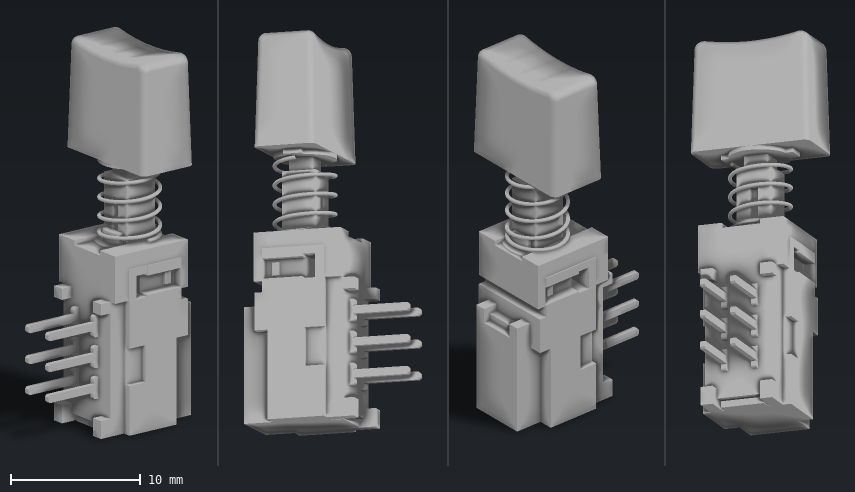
import cadquery as cq
import math


SWITCH_HEIGHT = 30.2
FRAME_BOTTOM = 10.9
FRAME_TOP = 14.75
WASHER_BOTTOM = 20.87
CAP_BOTTOM = 21.2

STEM_WIDTH_X = 2.85
STEM_WIDTH_Y = 2.78
NECK_WIDTH = 1.93
NECK_BOTTOM = 19.8
STEM_TOP = 24.15
STEM_SLOT_WIDTH = 0.65
STEM_SLOT_DEPTH = 0.55
STEM_SLOT_TOP = 18.12

CAP_LENGTH = 9.9
CAP_WIDTH = 5.0
CAP_DRAFT = 1.5
CAP_END_RADIUS = 0.7
CAP_EDGE_RADIUS = 0.55
DISH_HALF_LENGTH = 3.87
DISH_DEPTH = 0.4

WASHER_RADIUS = 2.48
WASHER_FLAT_Y = 2.15
WASHER_TAB_SPAN = 5.98
WASHER_TAB_WIDTH = 1.45

SPRING_RADIUS = 2.35
WIRE_DIAMETER = 0.3
SEAT_CLEARANCE = 0.005
SPRING_PITCH = 1.5
SEAT_TURNS = 0.5
LEAD_IN_TURNS = 0.5
LEAD_IN_RISE = 0.48
ACTIVE_TURNS = 3.5
POINTS_PER_TURN = 16

FRAME_WIDTH = 7.07
FRAME_FRONT = -4.15
FRAME_BACK = 2.93
GROOVE_WIDTH = 3.2
GROOVE_DEPTH = 0.4
SEAT_RADIUS = 2.72
SEAT_HEIGHT = 0.12
POST_RADIUS = 2.1
POST_WIDTH = 1.93
POST_TOP = 15.45
POST_GAP = 0.05
BUMP_PROJECTION = 0.35
BUMP_WIDTH = 0.55
BUMP_HEIGHT = 1.03
BUMP_Y = 1.33
BUMP_Z = 11.87

HOUSING_WIDTH = 7.3
HOUSING_FRONT = -2.85
ARM_BACK = 2.2
ARM_TOP = 13.45
ARM_INNER_X = 2.75
SHOULDER_BACK = 2.85
SHOULDER_TOP = 10.0
SHOULDER_BOTTOM = 7.05
LOWER_BACK = 1.75
LUG_WIDTH = 4.85
LUG_BACK = 4.1
LUG_TOP = 9.15
LUG_SLOT_WIDTH = 3.02
LUG_SLOT_DEPTH = 0.6
LUG_STEP_DEPTH = 1.2
LUG_STEP_LENGTH = 0.57
SIDE_NOTCH_BACK = -1.27
SIDE_NOTCH_BOTTOM = 4.02
SIDE_NOTCH_DEPTH = 0.48
TONGUE_WIDTH = 3.55
TONGUE_HEIGHT = 0.5
TONGUE_FRONT = -3.8

WINDOW_SPLIT_Y = -1.1
WINDOW_FRONT = -2.1
FRONT_WINDOW_TOP = 12.8
BACK_WINDOW_BOTTOM = 11.05
BACK_WINDOW_TOP = 12.62
FRONT_SETBACK = 0.03

BASE_WIDTH = 5.92
BASE_NOTCH_WIDTH = 3.93
BASE_NOTCH_HEIGHT = 0.65
PEG_FRONT = -5.07
UPPER_PEG_HEIGHT = FRAME_BOTTOM - SHOULDER_TOP
LOWER_PEG_HEIGHT = 1.45

PIN_PITCH = 2.5
PIN_ROWS = 3
LOWEST_PIN_Z = 3.6
PIN_THICKNESS = 0.42
PIN_HEIGHT = 0.63
PIN_TIP_Y = -9.03
PIN_TIP_CHAMFER = 0.15
NUB_SPAN = 1.75
NUB_LENGTH = 0.48
NUB_RADIUS = 0.2

SIDES = (-1, 1)


def block(x_range, y_range, z_range):
    """Axis-aligned block between the given limits."""
    sizes = [high - low for low, high in (x_range, y_range, z_range)]
    corner = (x_range[0], y_range[0], z_range[0])
    return cq.Workplane("XY").box(*sizes, centered=False).translate(corner)


def middle_block(width, y_range, z_range):
    """Block centred on X = 0."""
    return block((-width / 2, width / 2), y_range, z_range)


def side_block(side, x_near, x_far, y_range, z_range):
    """Block on the -X (side = -1) or +X (side = 1) half."""
    return block(sorted((side * x_near, side * x_far)), y_range, z_range)


def post_column(width_x, width_y, bottom, top):
    """Rectangular column on the stem axis."""
    return middle_block(width_x, (-width_y / 2, width_y / 2), (bottom, top))


def disc(radius, bottom, top):
    return cq.Workplane("XY").workplane(offset=bottom).circle(radius).extrude(top - bottom)


def make_neck():
    return post_column(NECK_WIDTH, NECK_WIDTH, NECK_BOTTOM, STEM_TOP)


def make_stem():
    """Square stem with a thinner neck and a lengthwise slot in its front face."""
    stem = post_column(STEM_WIDTH_X, STEM_WIDTH_Y, FRAME_BOTTOM, NECK_BOTTOM).union(make_neck())
    front = -STEM_WIDTH_Y / 2
    slot = middle_block(STEM_SLOT_WIDTH, (front, front + STEM_SLOT_DEPTH), (FRAME_BOTTOM, STEM_SLOT_TOP))
    return stem.cut(slot)


def make_cap():
    """Drafted cap with a dish across its top, rounded edges and a socket for the neck."""
    cap = (
        cq.Workplane("XY")
        .workplane(offset=CAP_BOTTOM)
        .rect(CAP_LENGTH, CAP_WIDTH)
        .extrude(SWITCH_HEIGHT - CAP_BOTTOM, taper=CAP_DRAFT)
        .edges("|Y and >Z")
        .fillet(CAP_END_RADIUS)
    )
    dish_radius = (DISH_HALF_LENGTH**2 + DISH_DEPTH**2) / (2 * DISH_DEPTH)
    dish = (
        cq.Workplane("XZ")
        .center(0, SWITCH_HEIGHT - DISH_DEPTH + dish_radius)
        .circle(dish_radius)
        .extrude(CAP_WIDTH / 2, both=True)
    )
    cap = cap.cut(dish)
    cap = cap.edges("(not <Z) and (not |Y)").fillet(CAP_EDGE_RADIUS)
    return cap.cut(make_neck())


def make_washer():
    """Spring washer with two side tabs and a flat at the back."""
    tabs = post_column(WASHER_TAB_SPAN, WASHER_TAB_WIDTH, WASHER_BOTTOM, CAP_BOTTOM)
    beyond_flat = middle_block(
        2 * WASHER_RADIUS, (WASHER_FLAT_Y, WASHER_RADIUS), (WASHER_BOTTOM, CAP_BOTTOM)
    )
    return disc(WASHER_RADIUS, WASHER_BOTTOM, CAP_BOTTOM).union(tabs).cut(beyond_flat).cut(make_neck())


def spring_height(turn):
    """Height of the wire centre: a flat seat, a gentle lead-in, then the full pitch."""
    seat = FRAME_TOP + SEAT_CLEARANCE + WIRE_DIAMETER / 2
    if turn <= SEAT_TURNS:
        return seat
    if turn <= SEAT_TURNS + LEAD_IN_TURNS:
        return seat + LEAD_IN_RISE * (turn - SEAT_TURNS) / LEAD_IN_TURNS
    return seat + LEAD_IN_RISE + SPRING_PITCH * (turn - SEAT_TURNS - LEAD_IN_TURNS)


def spring_point(turn):
    angle = 2 * math.pi * turn
    return (SPRING_RADIUS * math.cos(angle), SPRING_RADIUS * math.sin(angle), spring_height(turn))


def make_spring():
    """Right-handed compression spring."""
    turns = SEAT_TURNS + LEAD_IN_TURNS + ACTIVE_TURNS
    steps = round(turns * POINTS_PER_TURN)
    path = cq.Workplane("XY").spline([spring_point(turns * i / steps) for i in range(steps + 1)])
    start_x, start_y, start_z = spring_point(0)
    wire_section = cq.Workplane("XZ", origin=(start_x, start_y, start_z)).circle(WIRE_DIAMETER / 2)
    return wire_section.sweep(path, isFrenet=True)


def make_frame():
    """Box over the housing, with a grooved top, guide posts, and recesses for the housing arms."""
    frame = middle_block(FRAME_WIDTH, (FRAME_FRONT, FRAME_BACK), (FRAME_BOTTOM, FRAME_TOP))
    groove_floor = FRAME_TOP - GROOVE_DEPTH
    frame = frame.cut(middle_block(GROOVE_WIDTH, (FRAME_FRONT, FRAME_BACK), (groove_floor, FRAME_TOP)))

    seat = disc(SEAT_RADIUS, groove_floor, groove_floor + SEAT_HEIGHT)
    seat_limits = middle_block(GROOVE_WIDTH, (-SEAT_RADIUS, SEAT_RADIUS), (groove_floor, FRAME_TOP))
    frame = frame.union(seat.intersect(seat_limits))

    posts = disc(POST_RADIUS, groove_floor, POST_TOP)
    posts = posts.intersect(post_column(POST_WIDTH, 2 * POST_RADIUS, groove_floor, POST_TOP))
    posts = posts.cut(post_column(POST_WIDTH, STEM_WIDTH_Y + 2 * POST_GAP, groove_floor, POST_TOP))
    frame = frame.union(posts)

    frame = frame.cut(post_column(STEM_WIDTH_X, STEM_WIDTH_Y, FRAME_BOTTOM, FRAME_TOP))
    for side in SIDES:
        frame = frame.cut(
            side_block(
                side, ARM_INNER_X, FRAME_WIDTH / 2, (HOUSING_FRONT, ARM_BACK), (FRAME_BOTTOM, ARM_TOP)
            )
        )
        frame = frame.union(
            side_block(
                side,
                ARM_INNER_X,
                ARM_INNER_X + BUMP_PROJECTION,
                (BUMP_Y - BUMP_WIDTH / 2, BUMP_Y + BUMP_WIDTH / 2),
                (BUMP_Z - BUMP_HEIGHT / 2, BUMP_Z + BUMP_HEIGHT / 2),
            )
        )
    return frame.cut(
        middle_block(FRAME_WIDTH, (WINDOW_FRONT, WINDOW_SPLIT_Y), (FRAME_BOTTOM, FRONT_WINDOW_TOP))
    )


def make_arm(side):
    """Housing arm that reaches up into the frame, with its window."""
    outer = HOUSING_WIDTH / 2
    arm = side_block(side, ARM_INNER_X, outer, (HOUSING_FRONT, ARM_BACK), (FRAME_BOTTOM, ARM_TOP))
    front_window = side_block(
        side, ARM_INNER_X, outer, (WINDOW_FRONT, WINDOW_SPLIT_Y), (FRAME_BOTTOM, FRONT_WINDOW_TOP)
    )
    back_window = side_block(
        side, ARM_INNER_X, outer, (WINDOW_SPLIT_Y, ARM_BACK), (BACK_WINDOW_BOTTOM, BACK_WINDOW_TOP)
    )
    front_setback = side_block(
        side, outer - FRONT_SETBACK, outer, (HOUSING_FRONT, WINDOW_SPLIT_Y), (FRAME_BOTTOM, ARM_TOP)
    )
    return arm.cut(front_window).cut(back_window).cut(front_setback)


def make_housing():
    """Stepped housing with a rear lug, two window arms, side notches and a front tongue."""
    housing = (
        cq.Workplane("YZ")
        .polyline(
            [
                (HOUSING_FRONT, 0),
                (LOWER_BACK, 0),
                (LOWER_BACK, SHOULDER_BOTTOM),
                (SHOULDER_BACK, SHOULDER_BOTTOM),
                (SHOULDER_BACK, SHOULDER_TOP),
                (ARM_BACK, SHOULDER_TOP),
                (ARM_BACK, FRAME_BOTTOM),
                (HOUSING_FRONT, FRAME_BOTTOM),
            ]
        )
        .close()
        .extrude(HOUSING_WIDTH / 2, both=True)
    )
    lug = middle_block(LUG_WIDTH, (LOWER_BACK, LUG_BACK), (0, LUG_TOP))
    lug_slot = middle_block(LUG_SLOT_WIDTH, (SHOULDER_BACK, LUG_BACK), (LUG_TOP - LUG_SLOT_DEPTH, LUG_TOP))
    lug_step = middle_block(
        LUG_SLOT_WIDTH, (LUG_BACK - LUG_STEP_LENGTH, LUG_BACK), (LUG_TOP - LUG_STEP_DEPTH, LUG_TOP)
    )
    tongue = middle_block(TONGUE_WIDTH, (TONGUE_FRONT, HOUSING_FRONT), (0, TONGUE_HEIGHT))
    housing = housing.union(lug.cut(lug_slot).cut(lug_step)).union(tongue)
    outer = HOUSING_WIDTH / 2
    for side in SIDES:
        housing = housing.union(make_arm(side))
        housing = housing.cut(
            side_block(
                side,
                outer - SIDE_NOTCH_DEPTH,
                outer,
                (HOUSING_FRONT, SIDE_NOTCH_BACK),
                (SIDE_NOTCH_BOTTOM, SHOULDER_BOTTOM),
            )
        )
    return housing


def make_pin(x, z):
    """Flat pin with a chamfered tip and a rounded nub above and below its root."""
    x_range = (x - PIN_THICKNESS / 2, x + PIN_THICKNESS / 2)
    pin = block(x_range, (PIN_TIP_Y, FRAME_FRONT), (z - PIN_HEIGHT / 2, z + PIN_HEIGHT / 2))
    pin = pin.edges("<Y and |X").chamfer(PIN_TIP_CHAMFER)
    for side in SIDES:
        z_range = sorted((z + side * PIN_HEIGHT / 2, z + side * NUB_SPAN / 2))
        nub = block(x_range, (FRAME_FRONT - NUB_LENGTH, FRAME_FRONT), z_range)
        pin = pin.union(nub.edges("<Y and |X").fillet(NUB_RADIUS))
    return pin


def make_terminal_base():
    """Front plate with four standoff pegs and two rows of solder pins."""
    base = middle_block(BASE_WIDTH, (FRAME_FRONT, HOUSING_FRONT), (0, FRAME_BOTTOM))
    base = base.cut(middle_block(BASE_NOTCH_WIDTH, (FRAME_FRONT, HOUSING_FRONT), (0, BASE_NOTCH_HEIGHT)))
    peg_heights = ((0, LOWER_PEG_HEIGHT), (FRAME_BOTTOM - UPPER_PEG_HEIGHT, FRAME_BOTTOM))
    for side in SIDES:
        for z_range in peg_heights:
            base = base.union(
                side_block(side, BASE_NOTCH_WIDTH / 2, BASE_WIDTH / 2, (PEG_FRONT, FRAME_FRONT), z_range)
            )
        for row in range(PIN_ROWS):
            base = base.union(make_pin(side * PIN_PITCH / 2, LOWEST_PIN_Z + row * PIN_PITCH))
    return base


stem = make_stem()
cap = make_cap()
washer = make_washer()
spring = make_spring()
frame = make_frame()
housing = make_housing()
terminal_base = make_terminal_base()

result = cq.Compound.makeCompound(
    [
        cap.val(),
        washer.val(),
        spring.val(),
        stem.val(),
        frame.val(),
        housing.val(),
        terminal_base.val(),
    ]
)